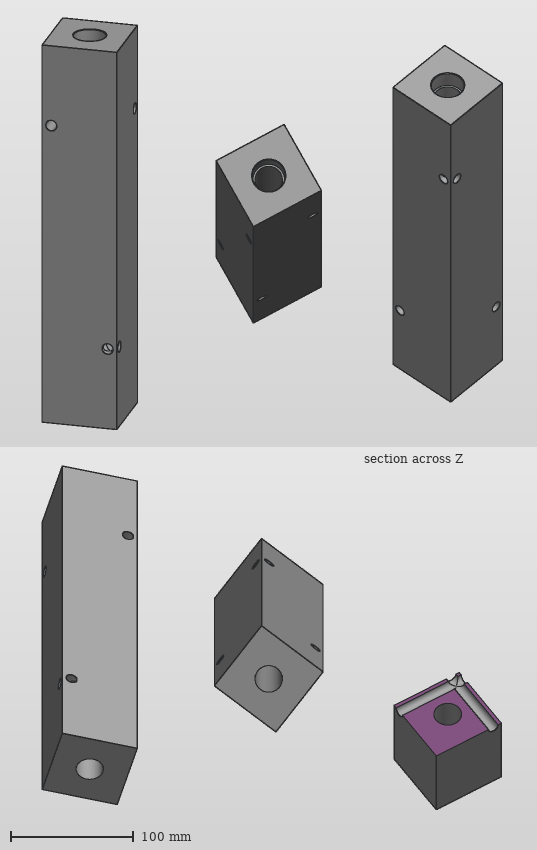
import cadquery as cq

bar_width = 63.5
bar_length = 330.2

edge_break = 0.27

bore_diameter = 22.225
port_mouth_diameter = 26.67
port_taper = 1 / 16
port_depth = 14
port_mouth_chamfer = 0.62

cross_hole_diameter = 8.95
cross_hole_edge_distance = 7.9375
cross_hole_end_distance = 69.85

port_floor_diameter = port_mouth_diameter - port_taper * port_depth
half_width = bar_width / 2
half_length = bar_length / 2
cross_hole_offset = half_width - cross_hole_edge_distance
cross_hole_height = half_length - cross_hole_end_distance


def make_bar():
    """Square bar with all outer edges broken."""
    return (
        cq.Workplane("XY")
        .box(bar_width, bar_width, bar_length)
        .edges()
        .chamfer(edge_break)
    )


def make_bore():
    """Through bore that widens to a tapered port with a chamfered mouth at the top face."""
    bore_radius = bore_diameter / 2
    port_floor_radius = port_floor_diameter / 2
    port_mouth_radius = port_mouth_diameter / 2
    port_floor = half_length - port_depth
    return (
        cq.Workplane("XZ")
        .moveTo(0, -half_length)
        .lineTo(bore_radius, -half_length)
        .lineTo(bore_radius, port_floor)
        .lineTo(port_floor_radius, port_floor)
        .lineTo(port_mouth_radius, half_length - port_mouth_chamfer)
        .lineTo(port_mouth_radius + port_mouth_chamfer, half_length)
        .lineTo(0, half_length)
        .close()
        .revolve(360, (0, 0, 0), (0, 1, 0))
    )


def make_cross_hole(plane, offset, height):
    """Hole across the full width of the bar, flared to chamfer both mouths."""
    flared_diameter = cross_hole_diameter + 2 * edge_break
    hole = (
        cq.Workplane(plane)
        .center(offset, height)
        .circle(cross_hole_diameter / 2)
        .extrude(half_width, both=True)
    )
    for end in (1, -1):
        flare = (
            cq.Workplane(plane)
            .center(offset, height)
            .workplane(offset=end * half_width)
            .circle(flared_diameter / 2)
            .workplane(offset=-end * edge_break)
            .circle(cross_hole_diameter / 2)
            .loft()
        )
        hole = hole.union(flare)
    return hole


result = make_bar().cut(make_bore())
for side in (1, -1):
    offset = side * cross_hole_offset
    height = side * cross_hole_height
    result = result.cut(make_cross_hole("XZ", -offset, height))
    result = result.cut(make_cross_hole("YZ", offset, height))